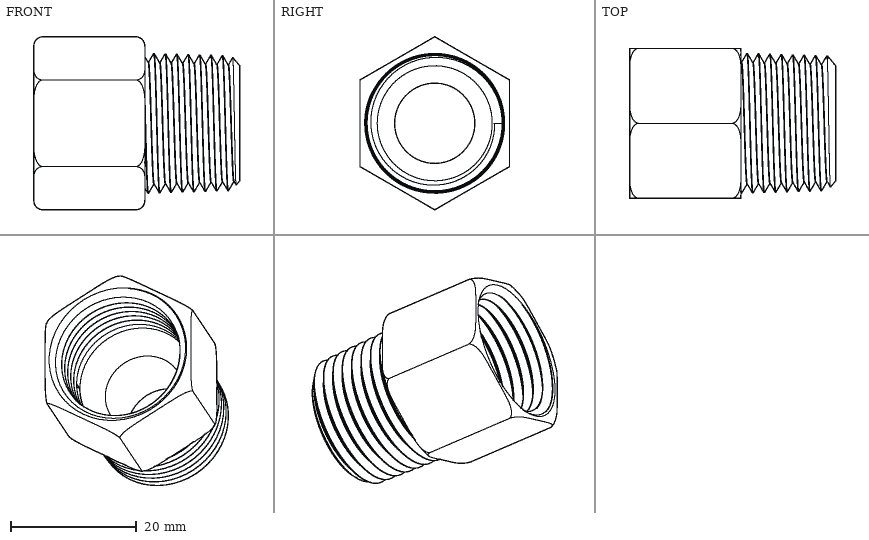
import cadquery as cq
import math

TOTAL_LENGTH = 32.75
HEX_LENGTH = 17.7
ACROSS_FLATS = 23.8
HEX_FACE_RADIUS = 12.25
CORNER_ROUND = 1.5
BORE_RADIUS = 12.7 / 2

EIGHT_PITCHES = 14.5
PITCH = EIGHT_PITCHES / 8
THREAD_DEPTH = 1.38
ROOT_FLAT = 0.115
TAPER = 1 / 32
OVERCUT = 0.05
FLANK_SLOPE = math.tan(math.radians(30))

STUD_CREST_X = 18.67
STUD_LEAD_IN = 1.5
STUD_CREST_RADIUS = 11.1
STUD_END_RADIUS = 9.15
STUD_CHAMFER = 1.35

SOCKET_CREST_X = 2.23
SOCKET_LEAD_IN = 2.5
SOCKET_CREST_RADIUS = 9.73
SOCKET_DEPTH = 13.25
SOCKET_TURNS = 8.0
MOUTH_RADIUS = 11.23
MOUTH_CHAMFER = 1.4
CONE_LENGTH = 4.6

corner_radius = ACROSS_FLATS / math.sqrt(3)


def stud_radius(x):
    return STUD_CREST_RADIUS - TAPER * (x - STUD_CREST_X)


def socket_radius(x):
    return SOCKET_CREST_RADIUS - TAPER * (x - SOCKET_CREST_X)


def revolve_about_x(outline):
    """Turn the outline about X, leaving the seam on -Y, clear of the thread starts."""
    turned = outline.close().revolve(360, (0, 0, 0), (1, 0, 0))
    return turned.rotate((0, 0, 0), (1, 0, 0), 180)


def thread_groove(start_x, turns, crest_radius, inward):
    """Right-handed groove starting on the +Y side and narrowing in radius toward +X.

    inward is 1 for an external thread and -1 for an internal one.
    """
    taper_angle = -math.degrees(math.atan(TAPER))
    helix = cq.Wire.makeHelix(PITCH, turns * PITCH, crest_radius, angle=taper_angle)
    root_radius = crest_radius - inward * THREAD_DEPTH
    open_radius = crest_radius + inward * OVERCUT
    root_half = ROOT_FLAT / 2
    open_half = root_half + (THREAD_DEPTH + OVERCUT) * FLANK_SLOPE
    groove = (
        cq.Workplane("XZ")
        .polyline([
            (root_radius, -root_half),
            (root_radius, root_half),
            (open_radius, open_half),
            (open_radius, -open_half),
        ])
        .close()
        .sweep(cq.Workplane(obj=helix), isFrenet=True)
    )
    return groove.rotate((0, 0, 0), (1, 1, 1), 120).translate((start_x, 0, 0))


def make_hex():
    prism = cq.Workplane("YZ").polygon(6, 2 * corner_radius).extrude(HEX_LENGTH)
    prism = prism.rotate((0, 0, 0), (1, 0, 0), 30)
    mid = CORNER_ROUND * (1 - math.sqrt(0.5))
    envelope_radius = HEX_FACE_RADIUS + CORNER_ROUND
    envelope = revolve_about_x(
        cq.Workplane("XY")
        .lineTo(0, HEX_FACE_RADIUS)
        .threePointArc((mid, envelope_radius - mid), (CORNER_ROUND, envelope_radius))
        .lineTo(HEX_LENGTH - CORNER_ROUND, envelope_radius)
        .threePointArc((HEX_LENGTH - mid, envelope_radius - mid), (HEX_LENGTH, HEX_FACE_RADIUS))
        .lineTo(HEX_LENGTH, 0)
    )
    return prism.intersect(envelope)


def make_stud():
    chamfer_x = TOTAL_LENGTH - STUD_CHAMFER
    blank = revolve_about_x(
        cq.Workplane("XY")
        .moveTo(HEX_LENGTH, 0)
        .lineTo(HEX_LENGTH, stud_radius(HEX_LENGTH))
        .lineTo(chamfer_x, stud_radius(chamfer_x))
        .lineTo(TOTAL_LENGTH, STUD_END_RADIUS)
        .lineTo(TOTAL_LENGTH, 0)
    )
    start_x = STUD_CREST_X - STUD_LEAD_IN * PITCH
    turns = math.floor((TOTAL_LENGTH - start_x) / PITCH)
    return blank.cut(thread_groove(start_x, turns, stud_radius(start_x), 1))


def make_cavity():
    """Mouth chamfer, tapered socket, cone and through bore as one turned shape."""
    chamfer_radius = MOUTH_RADIUS - MOUTH_CHAMFER
    return revolve_about_x(
        cq.Workplane("XY")
        .lineTo(0, MOUTH_RADIUS)
        .lineTo(MOUTH_CHAMFER, chamfer_radius)
        .lineTo(MOUTH_CHAMFER, socket_radius(MOUTH_CHAMFER))
        .lineTo(SOCKET_DEPTH, socket_radius(SOCKET_DEPTH))
        .lineTo(SOCKET_DEPTH + CONE_LENGTH, BORE_RADIUS)
        .lineTo(TOTAL_LENGTH, BORE_RADIUS)
        .lineTo(TOTAL_LENGTH, 0)
    )


def make_socket_groove():
    start_x = SOCKET_CREST_X - SOCKET_LEAD_IN * PITCH
    return thread_groove(start_x, SOCKET_TURNS, socket_radius(start_x), -1)


result = make_hex().union(make_stud()).cut(make_cavity()).cut(make_socket_groove())